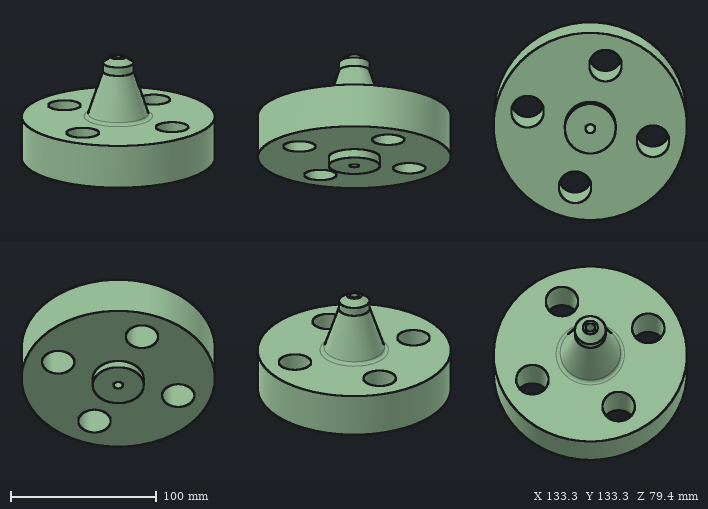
import cadquery as cq
import math

flange_diameter = 133.3
flange_thickness = 30.4

raised_face_diameter = 35.2
raised_face_height = 6.1

hub_base_diameter = 42.9
hub_height = 42.9
hub_fillet_radius = 2.9
pipe_diameter = 21.3
pipe_length = 6.1
tip_diameter = 10.3
bevel_angle = 37.5

bore_diameter = 6.4
bolt_circle_diameter = 88.9
bolt_hole_diameter = 22.3
bolt_count = 4

bevel_height = (pipe_diameter - tip_diameter) / 2 * math.tan(math.radians(bevel_angle))
bevel_base_z = hub_height - bevel_height
taper_top_z = bevel_base_z - pipe_length
disc_bottom_z = -flange_thickness
bottom_z = disc_bottom_z - raised_face_height
total_height = hub_height - bottom_z


def flange_body():
    """Disc, raised face and hub, turned as one half profile about Z."""
    profile = [
        (0, bottom_z),
        (raised_face_diameter / 2, bottom_z),
        (raised_face_diameter / 2, disc_bottom_z),
        (flange_diameter / 2, disc_bottom_z),
        (flange_diameter / 2, 0),
        (hub_base_diameter / 2, 0),
        (pipe_diameter / 2, taper_top_z),
        (pipe_diameter / 2, bevel_base_z),
        (tip_diameter / 2, hub_height),
        (0, hub_height),
    ]
    body = cq.Workplane("XZ").polyline(profile).close().revolve(360, (0, 0), (0, 1))
    return body.edges("%CIRCLE").filter(is_hub_root).fillet(hub_fillet_radius)


def is_hub_root(edge):
    """True for the circle where the taper meets the disc."""
    return math.isclose(edge.radius(), hub_base_diameter / 2)


def bore():
    """Straight bore through the whole part."""
    return cq.Workplane("XY", origin=(0, 0, bottom_z)).circle(bore_diameter / 2).extrude(total_height)


def bolt_holes():
    """Bolt holes through the disc, on the X and Y axes."""
    return (
        cq.Workplane("XY", origin=(0, 0, disc_bottom_z))
        .polarArray(bolt_circle_diameter / 2, 0, 360, bolt_count)
        .circle(bolt_hole_diameter / 2)
        .extrude(flange_thickness)
    )


result = flange_body().cut(bore()).cut(bolt_holes())